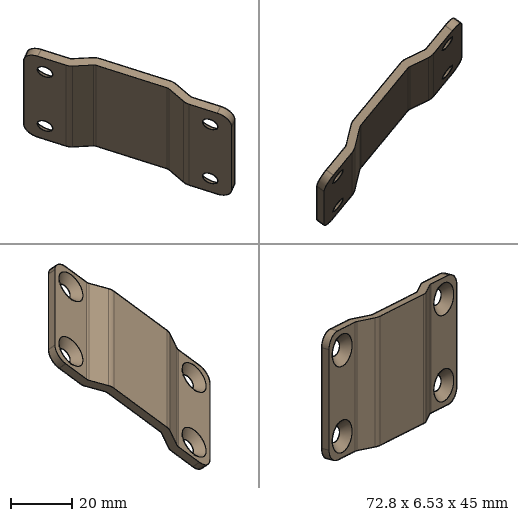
import cadquery as cq
import math

length = 72.8
width = 45.0
thickness = 3.0

bend_angle = 25.0
inner_radius = 2.0
outer_radius = inner_radius + thickness
neutral_radius = inner_radius + thickness / 2
web_length = 6.8

raised_width = 27.0

corner_radius = 5.0
hole_diameter = 5.3
hole_edge_distance = 7.5
countersink_diameter = 11.2
countersink_angle = 90.0

bend_rad = math.radians(bend_angle)
step_height = 2 * neutral_radius * (1 - math.cos(bend_rad)) + web_length * math.sin(bend_rad)
step_run = 2 * neutral_radius * math.sin(bend_rad) + web_length * math.cos(bend_rad)
raised_bend_x = raised_width / 2 - outer_radius * math.tan(bend_rad / 2)
flange_bend_x = raised_bend_x + step_run
raised_bend_y = step_height - inner_radius
flange_bend_y = thickness + inner_radius


def flange_bend_point(side, radius, angle):
    """Point on a flange bend, turned by angle from the end of the flat flange."""
    x = flange_bend_x - radius * math.sin(angle)
    y = flange_bend_y - radius * math.cos(angle)
    return (side * x, y)


def raised_bend_point(side, radius, angle):
    """Point on a raised bend, turned by angle from the end of the raised plate."""
    x = raised_bend_x + radius * math.sin(angle)
    y = raised_bend_y + radius * math.cos(angle)
    return (side * x, y)


def add_bend(outline, bend_point, side, radius, start_angle, end_angle):
    """Draw a line up to a bend, then the arc round it."""
    middle_angle = (start_angle + end_angle) / 2
    outline = outline.lineTo(*bend_point(side, radius, start_angle))
    return outline.threePointArc(
        bend_point(side, radius, middle_angle),
        bend_point(side, radius, end_angle),
    )


def make_bent_sheet():
    """Extrude the bent section across the full width, centred on Z = 0."""
    left, right = -1, 1
    section = cq.Workplane("XY").workplane(offset=-width / 2).moveTo(-length / 2, 0)

    section = add_bend(section, flange_bend_point, left, outer_radius, 0, bend_rad)
    section = add_bend(section, raised_bend_point, left, inner_radius, bend_rad, 0)
    section = add_bend(section, raised_bend_point, right, inner_radius, 0, bend_rad)
    section = add_bend(section, flange_bend_point, right, outer_radius, bend_rad, 0)
    section = section.lineTo(length / 2, 0).lineTo(length / 2, thickness)

    section = add_bend(section, flange_bend_point, right, inner_radius, 0, bend_rad)
    section = add_bend(section, raised_bend_point, right, outer_radius, bend_rad, 0)
    section = add_bend(section, raised_bend_point, left, outer_radius, 0, bend_rad)
    section = add_bend(section, flange_bend_point, left, inner_radius, bend_rad, 0)
    section = section.lineTo(-length / 2, thickness).close()
    return section.extrude(width)


def round_flange_corners(sheet):
    """Round the four outer corners of the flanges."""
    end_faces = sheet.faces("<X or >X")
    return end_faces.edges("|Y").fillet(corner_radius)


def drill_mounting_holes(sheet):
    """Cut the four flange holes, countersunk from the back face of the flanges."""
    hole_spacing_x = length - 2 * hole_edge_distance
    hole_spacing_z = width - 2 * hole_edge_distance
    back_plane = cq.Plane(origin=(0, thickness, 0), xDir=(-1, 0, 0), normal=(0, 1, 0))
    return (
        sheet.copyWorkplane(cq.Workplane(back_plane))
        .rarray(hole_spacing_x, hole_spacing_z, 2, 2)
        .cskHole(hole_diameter, countersink_diameter, countersink_angle)
    )


result = drill_mounting_holes(round_flange_corners(make_bent_sheet()))